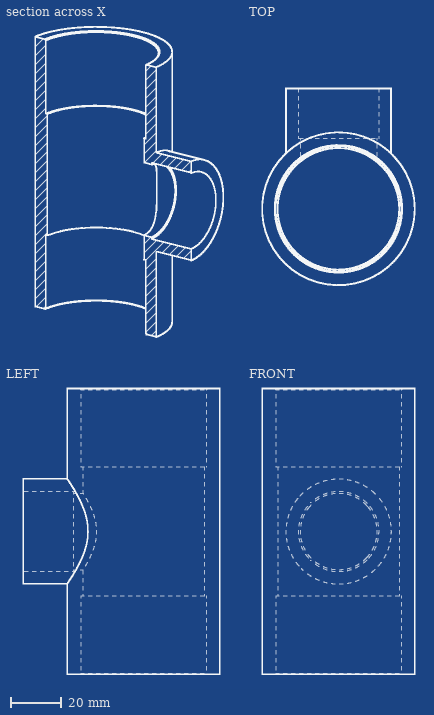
import cadquery as cq

length = 114.0
outer_diameter = 61.0
bore_diameter = 48.5
socket_diameter = 50.0
socket_depth = 31.4
mouth_chamfer = 0.5

total_depth_y = 78.5
branch_reach = total_depth_y - outer_diameter / 2
branch_diameter = 42.0
branch_bore_diameter = 30.5
branch_socket_diameter = 32.0
branch_socket_depth = 20.0


def z_cylinder(diameter, bottom, top):
    """Cylinder along the main pipe axis."""
    return cq.Workplane("XY").workplane(offset=bottom).circle(diameter / 2).extrude(top - bottom)


def y_cylinder(diameter, start, end):
    """Cylinder along the branch axis, pointing to +Y."""
    return cq.Workplane("XZ").workplane(offset=-start).circle(diameter / 2).extrude(start - end)


half_length = length / 2

body = z_cylinder(outer_diameter, -half_length, half_length)
body = body.union(y_cylinder(branch_diameter, 0, branch_reach))

body = body.cut(z_cylinder(bore_diameter, -half_length, half_length))
body = body.cut(z_cylinder(socket_diameter, half_length - socket_depth, half_length))
body = body.cut(z_cylinder(socket_diameter, -half_length, socket_depth - half_length))

for end_face in (">Z", "<Z"):
    mouth = cq.selectors.RadiusNthSelector(0)
    body = body.faces(end_face).edges(mouth).chamfer(mouth_chamfer)

body = body.cut(y_cylinder(branch_bore_diameter, 0, branch_reach))
body = body.cut(y_cylinder(branch_socket_diameter, branch_reach - branch_socket_depth, branch_reach))

result = body